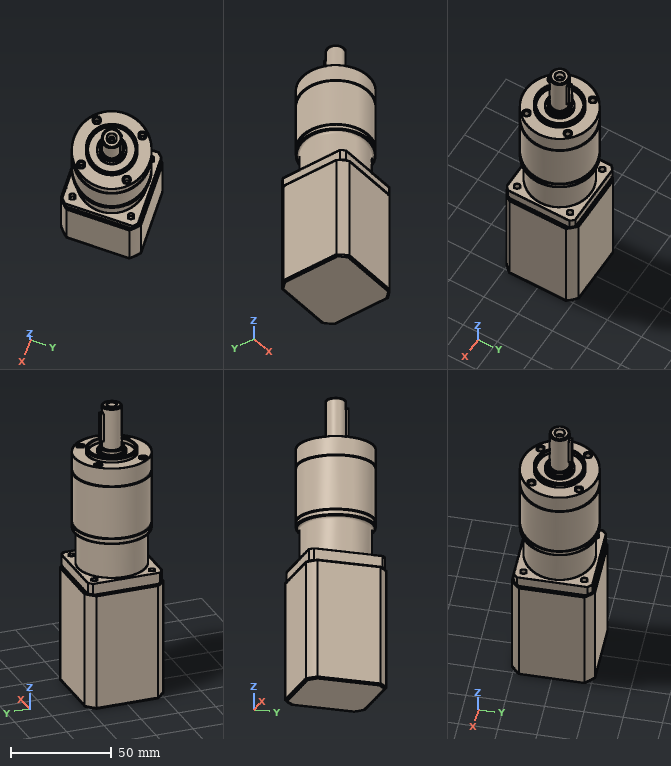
import cadquery as cq
import math


MOTOR_WIDTH = 42.4
PLATE_WIDTH = 40.0
CORNER_RADIUS = 26.9
MOTOR_BASE_CHAMFER = 0.8
MOTOR_TOP_CHAMFER = 0.5

TOTAL_HEIGHT = 156.3
MOTOR_TOP = 63.0
PLATE_TOP = 69.1
NECK_TOP = 88.5
LOWER_JOINT = 91.6
UPPER_JOINT = 120.4
HOUSING_TOP = 130.4
BOSS_TOP = 132.5
COLLAR_TOP = 133.5

NECK_RADIUS = 18.1
HOUSING_RADIUS = 20.0
BOSS_RADIUS = 13.0
BOSS_RECESS_RADIUS = 11.9
COLLAR_RADIUS = 6.1
SHAFT_RADIUS = 5.0

EDGE_CHAMFER = 0.5
SHAFT_CHAMFER = 0.55
COLLAR_CHAMFER = 0.3
JOINT_GROOVE_HALF_WIDTH = 0.23
JOINT_GROOVE_DEPTH = 0.23
NECK_FILLET = HOUSING_RADIUS - EDGE_CHAMFER - NECK_RADIUS

RING_RADIUS = 7.3
RING_THICKNESS = 1.0
RING_GAP = 0.8
EAR_REACH = 8.5
EAR_WIDTH = 2.0
EAR_HOLE_DIAMETER = 1.0

KEY_WIDTH = 3.0
KEY_LENGTH = 16.0
KEY_BOTTOM = 136.9
KEY_OUTER_Y = 6.3

CENTRE_MOUTH_RADIUS = 2.5
CENTRE_BORE_RADIUS = 1.3
CENTRE_SINK_HALF_ANGLE = 30.0
CENTRE_DEPTH = 6.3

FACE_HOLE_SPACING = 24.0
FACE_HOLE_MOUTH_RADIUS = 2.0
FACE_HOLE_RADIUS = 1.5
FACE_SINK_HALF_ANGLE = 45.0
FACE_HOLE_DEPTH = 7.8
PLATE_HOLE_SPACING = 31.0
PLATE_HOLE_DIAMETER = 3.1
DRILL_TIP_HALF_ANGLE = 59.0


def rounded_square(width, bottom, top):
    """Square bar whose corners are cut by a cylinder about the Z axis."""
    height = top - bottom
    square = cq.Workplane("XY").workplane(offset=bottom).rect(width, width).extrude(height)
    cylinder = cq.Workplane("XY").workplane(offset=bottom).circle(CORNER_RADIUS).extrude(height)
    return square.intersect(cylinder)


def drilled_hole(mouth_radius, bore_radius, sink_half_angle, depth, top):
    """Cutter on the Z axis: countersink, bore and conical drill tip."""
    sink_depth = (mouth_radius - bore_radius) / math.tan(math.radians(sink_half_angle))
    bore_bottom = top - depth
    tip = bore_bottom - bore_radius / math.tan(math.radians(DRILL_TIP_HALF_ANGLE))
    profile = (
        cq.Workplane("XZ")
        .moveTo(0, top)
        .lineTo(mouth_radius, top)
        .lineTo(bore_radius, top - sink_depth)
        .lineTo(bore_radius, bore_bottom)
        .lineTo(0, tip)
        .close()
    )
    return profile.revolve(360, (0, 0, 0), (0, 1, 0))


def make_motor():
    """Motor block with chamfered bottom and top rims."""
    body = rounded_square(MOTOR_WIDTH, 0, MOTOR_TOP)
    body = body.faces("<Z").chamfer(MOTOR_BASE_CHAMFER)
    return body.faces(">Z").chamfer(MOTOR_TOP_CHAMFER)


def turned_gearbox():
    """Neck, housing, recessed boss, collar and output shaft as one turned shape."""
    shoulder_radius = HOUSING_RADIUS - EDGE_CHAMFER
    groove_radius = HOUSING_RADIUS - JOINT_GROOVE_DEPTH
    fillet_sag = NECK_FILLET * (1 - math.sqrt(0.5))
    fillet_middle = (NECK_RADIUS + fillet_sag, NECK_TOP - fillet_sag)

    profile = (
        cq.Workplane("XZ")
        .moveTo(0, PLATE_TOP)
        .lineTo(NECK_RADIUS, PLATE_TOP)
        .lineTo(NECK_RADIUS, NECK_TOP - NECK_FILLET)
        .threePointArc(fillet_middle, (shoulder_radius, NECK_TOP))
        .lineTo(HOUSING_RADIUS, NECK_TOP + EDGE_CHAMFER)
    )
    for joint in (LOWER_JOINT, UPPER_JOINT):
        profile = (
            profile.lineTo(HOUSING_RADIUS, joint - JOINT_GROOVE_HALF_WIDTH)
            .lineTo(groove_radius, joint)
            .lineTo(HOUSING_RADIUS, joint + JOINT_GROOVE_HALF_WIDTH)
        )
    profile = (
        profile.lineTo(HOUSING_RADIUS, HOUSING_TOP)
        .lineTo(BOSS_RADIUS, HOUSING_TOP)
        .lineTo(BOSS_RADIUS, BOSS_TOP - EDGE_CHAMFER)
        .lineTo(BOSS_RADIUS - EDGE_CHAMFER, BOSS_TOP)
        .lineTo(BOSS_RECESS_RADIUS, BOSS_TOP)
        .lineTo(BOSS_RECESS_RADIUS, HOUSING_TOP)
        .lineTo(COLLAR_RADIUS, HOUSING_TOP)
        .lineTo(COLLAR_RADIUS, COLLAR_TOP - COLLAR_CHAMFER)
        .lineTo(COLLAR_RADIUS - COLLAR_CHAMFER, COLLAR_TOP)
        .lineTo(SHAFT_RADIUS, COLLAR_TOP)
        .lineTo(SHAFT_RADIUS, TOTAL_HEIGHT - SHAFT_CHAMFER)
        .lineTo(SHAFT_RADIUS - SHAFT_CHAMFER, TOTAL_HEIGHT)
        .lineTo(0, TOTAL_HEIGHT)
        .close()
    )
    return profile.revolve(360, (0, 0, 0), (0, 1, 0))


def retaining_ring():
    """Snap ring around the collar with two drilled ears beside its gap."""
    floor = cq.Workplane("XY").workplane(offset=HOUSING_TOP)
    ring = floor.circle(RING_RADIUS).extrude(RING_THICKNESS)

    ear_length = EAR_REACH - COLLAR_RADIUS
    ear_x = -(EAR_REACH + COLLAR_RADIUS) / 2
    ear_y = (RING_GAP + EAR_WIDTH) / 2
    ear_centres = floor.pushPoints([(ear_x, -ear_y), (ear_x, ear_y)])
    ears = ear_centres.rect(ear_length, EAR_WIDTH).extrude(RING_THICKNESS)
    holes = ear_centres.circle(EAR_HOLE_DIAMETER / 2).extrude(RING_THICKNESS)
    gap = floor.center(-EAR_REACH / 2, 0).rect(EAR_REACH, RING_GAP).extrude(RING_THICKNESS)
    return ring.union(ears).cut(holes).cut(gap)


def shaft_key():
    """Round-ended key running from the shaft axis plane out to its +Y face."""
    return (
        cq.Workplane("XZ")
        .center(0, KEY_BOTTOM + KEY_LENGTH / 2)
        .slot2D(KEY_LENGTH, KEY_WIDTH, 90)
        .extrude(-KEY_OUTER_Y)
    )


def centre_hole():
    """Centre hole in the shaft end."""
    return drilled_hole(
        CENTRE_MOUTH_RADIUS, CENTRE_BORE_RADIUS, CENTRE_SINK_HALF_ANGLE, CENTRE_DEPTH, TOTAL_HEIGHT
    )


def face_holes():
    """Four tapped holes in the housing face."""
    cutter = drilled_hole(
        FACE_HOLE_MOUTH_RADIUS, FACE_HOLE_RADIUS, FACE_SINK_HALF_ANGLE, FACE_HOLE_DEPTH, HOUSING_TOP
    )
    half = FACE_HOLE_SPACING / 2
    cutters = cq.Workplane("XY")
    for x in (-half, half):
        for y in (-half, half):
            cutters = cutters.union(cutter.translate((x, y, 0)))
    return cutters


def mounting_plate():
    """Square plate with four through holes for the motor screws."""
    return (
        rounded_square(PLATE_WIDTH, MOTOR_TOP, PLATE_TOP)
        .faces(">Z")
        .workplane(origin=(0, 0, PLATE_TOP))
        .rect(PLATE_HOLE_SPACING, PLATE_HOLE_SPACING, forConstruction=True)
        .vertices()
        .hole(PLATE_HOLE_DIAMETER)
    )


def make_gearbox():
    """Gearbox with its plate, output shaft, retaining ring and key as one solid."""
    return (
        mounting_plate()
        .union(turned_gearbox())
        .union(retaining_ring())
        .union(shaft_key())
        .cut(centre_hole())
        .cut(face_holes())
    )


motor = make_motor()
gearbox = make_gearbox()

result = cq.Compound.makeCompound([motor.val(), gearbox.val()])